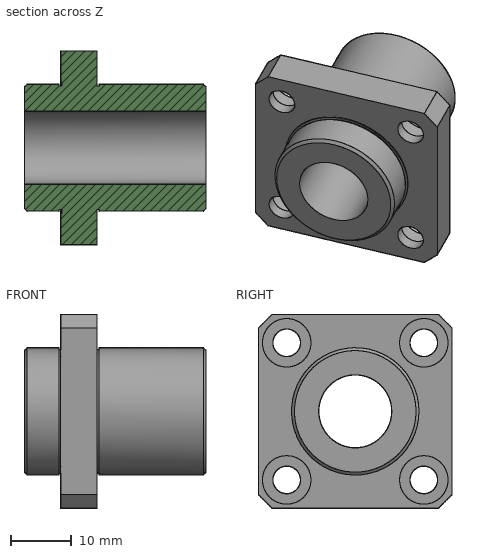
import cadquery as cq
import math

length = 30.0
flange_side = 32.0
flange_thickness = 6.0
front_length = 6.0
corner_chamfer = 2.27

body_diameter = 21.02
bore_diameter = 12.0
end_chamfer = 0.48

relief_diameter = 20.48
front_relief_width = 0.25
rear_relief_width = 0.35

recess_diameter = 21.6
recess_depth = 0.2

bolt_circle_diameter = 32.0
hole_diameter = 4.5
counterbore_diameter = 8.0
counterbore_depth = 4.1
hole_spacing = bolt_circle_diameter / math.sqrt(2)

flange_rear = front_length + flange_thickness


def cylinder(diameter, start, end):
    """Solid cylinder along X between two positions."""
    return cq.Workplane("YZ", origin=(start, 0, 0)).circle(diameter / 2).extrude(end - start)


def make_flange():
    """Square plate with bevelled corners, counterbored holes and a front recess."""
    plate = (
        cq.Workplane("YZ", origin=(front_length, 0, 0))
        .rect(flange_side, flange_side)
        .extrude(flange_thickness)
        .edges("|X")
        .chamfer(corner_chamfer)
    )
    for y_side in (-1, 1):
        for z_side in (-1, 1):
            offset = (0, y_side * hole_spacing / 2, z_side * hole_spacing / 2)
            hole = cylinder(hole_diameter, front_length, flange_rear)
            counterbore = cylinder(counterbore_diameter, flange_rear - counterbore_depth, flange_rear)
            plate = plate.cut(hole.union(counterbore).translate(offset))
    return plate.cut(cylinder(recess_diameter, front_length, front_length + recess_depth))


def make_sleeve():
    """Chamfered sleeve lands joined by a core that forms the reliefs."""
    front = cylinder(body_diameter, 0, front_length - front_relief_width)
    front = front.faces("<X").chamfer(end_chamfer)
    rear = cylinder(body_diameter, flange_rear + rear_relief_width, length)
    rear = rear.faces(">X").chamfer(end_chamfer)
    core = cylinder(relief_diameter, end_chamfer, length - end_chamfer)
    return core.union(front).union(rear)


bore = cylinder(bore_diameter, 0, length)
result = make_sleeve().union(make_flange()).cut(bore)